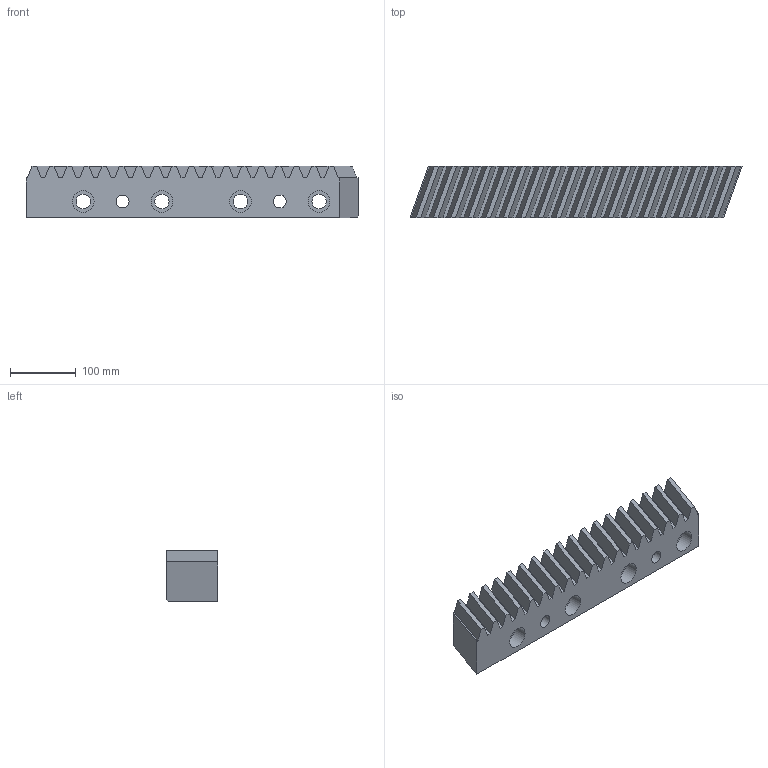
import cadquery as cq
import math

module = 8.0
pressure_angle = 20.0
tooth_count = 18
nominal_length = 480.0
addendum = module
dedendum = 1.25 * module

width = 79.0
height = 79.0
end_clearance = 0.67
back_chamfer = 3.0

hole_height = 25.0
hole_spacing = 60.0
bolt_hole_diameter = 22.0
counterbore_diameter = 33.0
counterbore_depth = 21.0
dowel_hole_diameter = 19.7
bolt_positions = [-3, -1, 1, 3]
dowel_positions = [-2, 2]

pitch = nominal_length / tooth_count
helix_angle = math.acos(module * math.pi / pitch)
shear = width * math.tan(helix_angle)
flank_slope = math.tan(math.radians(pressure_angle)) / math.cos(helix_angle)
pitch_line_height = height - addendum
root_height = pitch_line_height - dedendum
half_tip = pitch / 4 - addendum * flank_slope
half_base = pitch / 4 + dedendum * flank_slope

front_start = -nominal_length / 2 - shear
front_left = front_start + end_clearance
front_right = front_start + nominal_length - end_clearance


def tooth_outline(index):
    """Corner points of one tooth on the front face, from left to right."""
    centre = front_start + (index + 0.5) * pitch
    return [
        (centre - half_base, root_height),
        (centre - half_tip, height),
        (centre + half_tip, height),
        (centre + half_base, root_height),
    ]


def rack_body():
    """Toothed outline carried from the front face to the back face along the helix."""
    points = [(front_left, 0), (front_left, root_height)]
    for index in range(tooth_count):
        points += tooth_outline(index)
    points += [(front_right, root_height), (front_right, 0)]
    front_wire = cq.Wire.makePolygon([cq.Vector(x, 0, z) for x, z in points], close=True)
    helix_run = cq.Vector(shear, width, 0)
    return cq.Workplane("XY").add(cq.Solid.extrudeLinear(front_wire, [], helix_run))


def chamfer_cutter():
    """Triangular prism that bevels the lower back edge."""
    corner = [(width - back_chamfer, 0), (width, 0), (width, back_chamfer)]
    return cq.Workplane("YZ").polyline(corner).close().extrude(nominal_length, both=True)


def cylinders(positions, diameter, depth):
    """Cylinders of the given depth entering from the front face."""
    centres = [(position * hole_spacing, hole_height) for position in positions]
    return cq.Workplane("XZ").pushPoints(centres).circle(diameter / 2).extrude(-depth)


result = (
    rack_body()
    .cut(chamfer_cutter())
    .cut(cylinders(bolt_positions, bolt_hole_diameter, width))
    .cut(cylinders(bolt_positions, counterbore_diameter, counterbore_depth))
    .cut(cylinders(dowel_positions, dowel_hole_diameter, width))
)